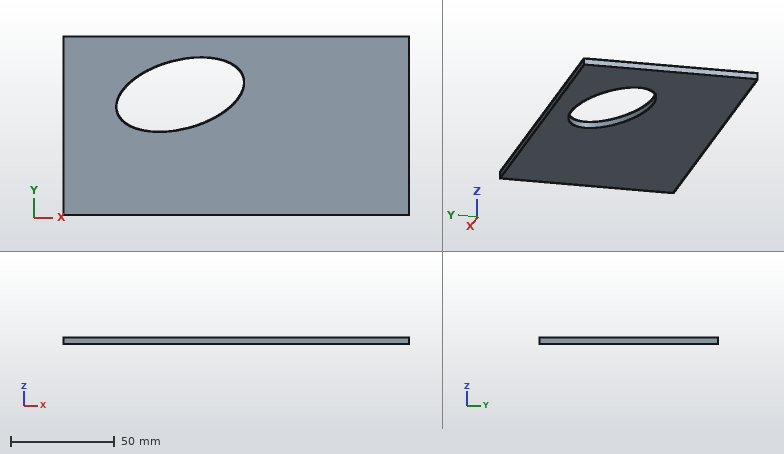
import cadquery as cq

plate_length = 167.8
plate_width = 86.7
plate_thickness = 3.2

opening_x = -27.2
opening_y = 15.1
opening_major_radius = 31.7
opening_minor_radius = 16.6
opening_tilt = 15.0

plate = cq.Workplane("XY").box(plate_length, plate_width, plate_thickness)

result = (
    plate.faces(">Z")
    .workplane(origin=(0, 0, 0))
    .center(opening_x, opening_y)
    .ellipse(opening_major_radius, opening_minor_radius, rotation_angle=opening_tilt)
    .cutThruAll()
)